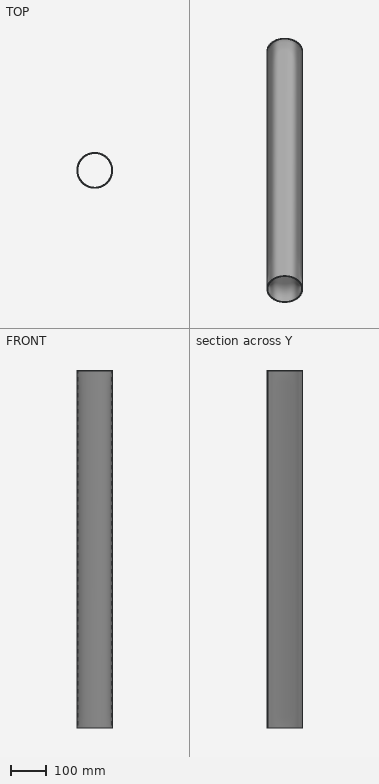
import cadquery as cq

length = 1000.0
outer_diameter = 100.0
wall_thickness = 2.5

outer_radius = outer_diameter / 2
inner_radius = outer_radius - wall_thickness

result = (
    cq.Workplane("XY")
    .circle(outer_radius)
    .circle(inner_radius)
    .extrude(length)
)